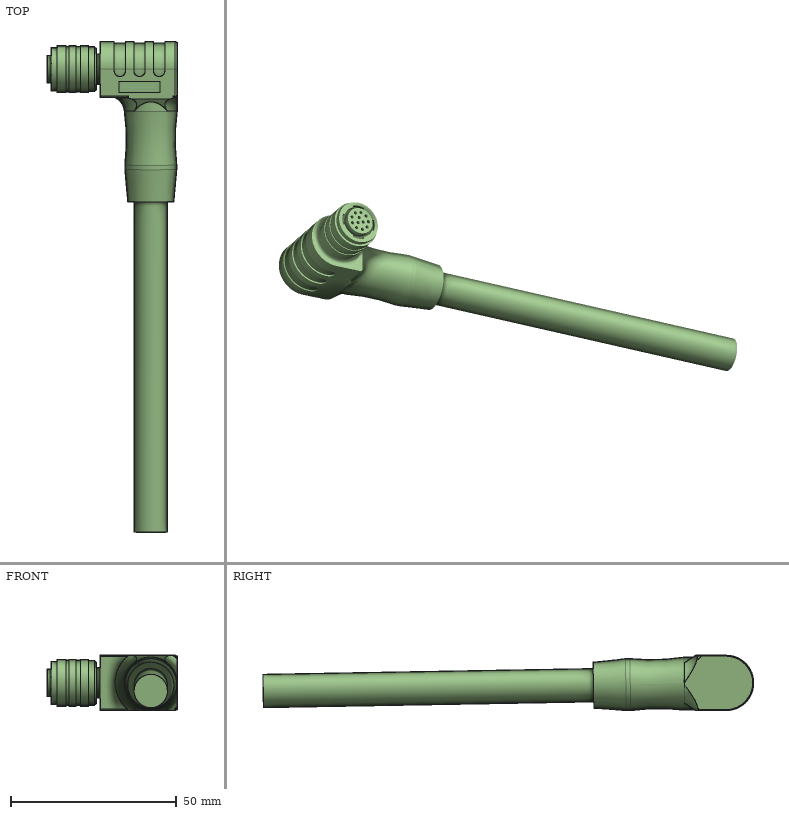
import cadquery as cq
import math


housing_height = 16.8
half_height = housing_height / 2
housing_left = -15.3
housing_right = 8.0
housing_front = -8.6
front_chamfer = 0.5
end_chamfer = 0.7
end_chamfer_drop = 0.3

groove_pitch = 6.0
groove_middle = -3.4
groove_count = 3
groove_width = 3.4
groove_depth = 0.5
groove_tip = -2.2

label_length = 12.3
label_width = 3.3
label_center = (-3.4, -5.3)
label_depth = 0.1

plug_tip = -31.3
sleeve_start = -30.1
nut_start = -28.4
nut_end = -18.9
nut_ring_end = -16.5
tip_radius = 4.2
sleeve_radius = 6.5
nut_radius = 7.1
nut_ring_radius = 6.8
nut_ring_chamfer = 0.6
neck_radius = 4.6
nut_groove_depth = 0.22
nut_grooves = ((-25.7, 0.9), (-22.5, 1.3))

contact_radius = 0.52
contact_depth = 1.5
contact_rings = ((9, 2.8, 55), (3, 1.0, 71))
keyway_width = 3.5
keyway_outer_radius = 5.5
keyway_depth = 1.2
tip_gap = 0.7

droop_angle = 1.0
flare_radius = 10.8
flare_end = 12.6
flare_end_radius = 8.0
flare_middle_radius = 8.6
flat_start = 9.0
flat_end_height = 6.1
waist_distance = 21.1
waist_radius = 7.4
rim_start = 29.0
rim_end = 30.3
rim_radius = 7.9
grip_end = 40.1
grip_end_radius = 7.0
cable_radius = 5.0
total_length = 148.5
droop_radians = math.radians(droop_angle)
cable_reach = total_length - half_height
cable_length = (cable_reach - cable_radius * math.sin(droop_radians)) / math.cos(droop_radians)


def housing_profile(inset=0.0):
    """Outline across the housing: flat front, round back, moved inwards by inset."""
    radius = half_height - inset
    return (
        cq.Workplane("YZ", origin=(housing_left, 0, 0))
        .moveTo(housing_front, -radius)
        .lineTo(0, -radius)
        .threePointArc((radius, 0), (0, radius))
        .lineTo(housing_front, radius)
        .close()
    )


def make_housing():
    housing = housing_profile().extrude(housing_right - housing_left)
    housing = housing.faces("<Y").edges("|X").chamfer(front_chamfer)
    return housing.faces(">X").edges("not <Y").chamfer(end_chamfer, end_chamfer_drop)


def finger_groove_cutter():
    """Slot columns with the slightly smaller housing taken out of them."""
    end_radius = groove_width / 2
    columns = cq.Workplane("XY", origin=(0, 0, -half_height))
    for index in range(groove_count):
        x = groove_middle + (index - (groove_count - 1) / 2) * groove_pitch
        columns = (
            columns.moveTo(x - end_radius, housing_height)
            .lineTo(x - end_radius, groove_tip + end_radius)
            .threePointArc((x, groove_tip), (x + end_radius, groove_tip + end_radius))
            .lineTo(x + end_radius, housing_height)
            .close()
        )
    core = housing_profile(groove_depth).extrude(housing_right - housing_left)
    return columns.extrude(housing_height).cut(core)


def label_cutter():
    return (
        cq.Workplane("XY", origin=(*label_center, half_height - label_depth))
        .rect(label_length, label_width)
        .extrude(label_depth)
    )


def plug_cylinder(start, end, radius):
    return cq.Workplane("YZ", origin=(start, 0, 0)).circle(radius).extrude(end - start)


def make_plug():
    plug = plug_cylinder(plug_tip, sleeve_start, tip_radius)
    plug = plug.union(plug_cylinder(sleeve_start, nut_start, sleeve_radius))
    plug = plug.union(plug_cylinder(nut_start, nut_end, nut_radius))
    ring = plug_cylinder(nut_end, nut_ring_end, nut_ring_radius)
    plug = plug.union(ring.faces(">X").chamfer(nut_ring_chamfer))
    plug = plug.union(plug_cylinder(nut_ring_end, housing_left, neck_radius))
    for start, width in nut_grooves:
        outer = plug_cylinder(start, start + width, nut_radius)
        inner = plug_cylinder(start, start + width, nut_radius - nut_groove_depth)
        plug = plug.cut(outer.cut(inner))
    return plug.cut(contact_cutter()).cut(keyway_cutter())


def contact_cutter():
    points = []
    for count, ring_radius, first_angle in contact_rings:
        for index in range(count):
            angle = math.radians(first_angle + index * 360 / count)
            points.append((ring_radius * math.cos(angle), ring_radius * math.sin(angle)))
    holes = cq.Workplane("YZ", origin=(plug_tip, 0, 0)).pushPoints(points)
    return holes.circle(contact_radius).extrude(contact_depth)


def keyway_cutter():
    """Four pockets in the sleeve face, joined by a narrow gap around the tip."""
    end = sleeve_start + keyway_depth
    ring = plug_cylinder(sleeve_start, end, keyway_outer_radius)
    size = 2 * keyway_outer_radius
    plane = cq.Workplane("YZ", origin=(sleeve_start, 0, 0))
    bars = plane.rect(size, keyway_width).extrude(keyway_depth)
    bars = bars.union(plane.rect(keyway_width, size).extrude(keyway_depth))
    gap = plug_cylinder(sleeve_start, end, tip_radius + tip_gap)
    tip = plug_cylinder(sleeve_start, end, tip_radius)
    return ring.intersect(bars).union(gap).cut(tip)


def droop(shape):
    return shape.rotate((0, 0, 0), (1, 0, 0), droop_angle)


def make_flare():
    """Concave flare against the housing front, trimmed by sloping flats above and below."""
    flare_middle = (flare_middle_radius, (housing_front - flare_end) / 2)
    flare = (
        cq.Workplane("XY")
        .lineTo(0, -flare_end)
        .lineTo(flare_end_radius, -flare_end)
        .threePointArc(flare_middle, (flare_radius, housing_front))
        .lineTo(flare_radius, 0)
        .close()
        .revolve(360, (0, 0, 0), (0, 1, 0))
    )
    slab = (
        cq.Workplane("YZ", origin=(housing_left, 0, 0))
        .moveTo(housing_front + front_chamfer, half_height)
        .lineTo(-flat_start, half_height)
        .lineTo(-flare_end, flat_end_height)
        .lineTo(-flare_end, -flat_end_height)
        .lineTo(-flat_start, -half_height)
        .lineTo(housing_front + front_chamfer, -half_height)
        .close()
        .extrude(housing_right - housing_left)
    )
    return droop(flare).intersect(slab)


def make_grip():
    """Waisted sleeve with a narrow rim, tapering towards the cable."""
    grip = (
        cq.Workplane("XY")
        .moveTo(0, housing_front)
        .lineTo(flare_end_radius, housing_front)
        .lineTo(flare_end_radius, -flare_end)
        .threePointArc((waist_radius, -waist_distance), (rim_radius, -rim_start))
        .lineTo(rim_radius, -rim_end)
        .lineTo(grip_end_radius, -grip_end)
        .lineTo(0, -grip_end)
        .close()
        .revolve(360, (0, 0, 0), (0, 1, 0))
    )
    return droop(grip)


def make_cable():
    cable = cq.Workplane("XZ").circle(cable_radius).extrude(cable_length)
    return droop(cable)


result = (
    make_housing()
    .cut(finger_groove_cutter())
    .cut(label_cutter())
    .union(make_flare())
    .union(make_grip())
    .union(make_cable())
    .union(make_plug())
)